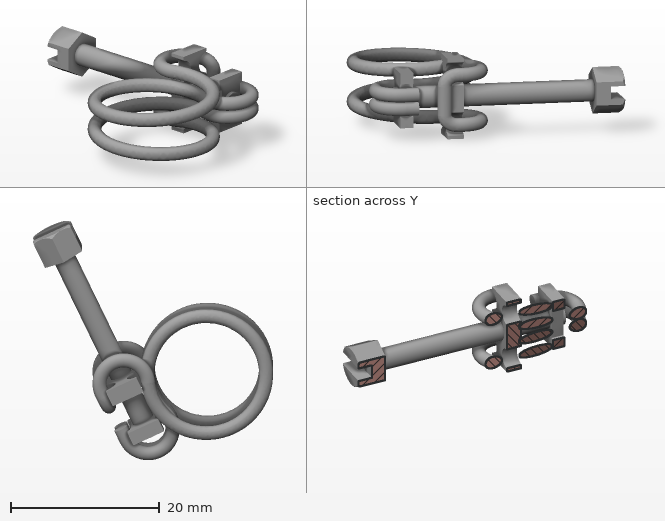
import cadquery as cq
import math

LENGTH = 35.35
WIRE_D = 1.87
COIL_D = 15.9
HOOK_D = 6.55
HOOK_DX = 3.85
HOOK_Y = -0.15
LEFT_HOOK_Z = 3.43
BRIDGE_STRAIGHT = 0.45
BEND_X = 1.85
BEND_Z = 1.45
FREE_END = 1.75

SHANK_D = 3.0
SHANK_END = 31.3
HEAD_LENGTH = 4.0
HEAD_FLATS = 5.5
HEAD_CHAMFER = 0.4
HEAD_TIP_D = 5.48
SLOT_WIDTH = 1.9
SLOT_DEPTH = 2.0

BAR_WIDTH = 4.55
THRUST_X = 22.1
THRUST_LENGTH = 2.23
THRUST_HEIGHT = 11.0
THRUST_NOTCH_R = 1.45
NOTCH_EDGE_R = 0.2
NUT_X = 28.98
NUT_LENGTH = 1.8
NUT_HEIGHT = 7.5
NUT_NOTCH_R = 1.35
NUT_NOTCH_DEPTH = 0.45

WIRE_R = WIRE_D / 2
COIL_R = COIL_D / 2
HOOK_R = HOOK_D / 2
COIL_X = LENGTH - COIL_R - WIRE_R
RIGHT_HOOK_Z = WIRE_R
LEFT_HOOK_X = COIL_X - HOOK_DX
RIGHT_HOOK_X = COIL_X + HOOK_DX
CENTRE_DISTANCE = COIL_R + HOOK_R
TILT = math.asin(HOOK_DX / CENTRE_DISTANCE)
COIL_Y = HOOK_Y - CENTRE_DISTANCE * math.cos(TILT)
COIL_SWEEP = 2 * math.pi + 2 * TILT


def screw():
    """Hexagon head with a driver slot and a chamfered end, on a plain shank."""
    hexagon = cq.Workplane("YZ").polygon(6, HEAD_FLATS, circumscribed=True).extrude(HEAD_LENGTH)
    tip_r = HEAD_TIP_D / 2
    corner_r = HEAD_FLATS / math.sqrt(3)
    turned = (
        cq.Workplane("XY")
        .polyline([(0, 0), (0, tip_r), (HEAD_CHAMFER, corner_r), (HEAD_LENGTH, corner_r), (HEAD_LENGTH, 0)])
        .close()
        .revolve(360, (0, 0, 0), (1, 0, 0))
    )
    slot = cq.Workplane("XY").box(2 * SLOT_DEPTH, 2 * HEAD_FLATS, SLOT_WIDTH)
    shank_length = SHANK_END - HEAD_LENGTH
    shank = cq.Workplane("YZ", origin=(HEAD_LENGTH, 0, 0)).circle(SHANK_D / 2).extrude(shank_length)
    return hexagon.intersect(turned).cut(slot).union(shank)


def bar(x, length, height):
    """Upright bar across the screw, with a hole for the shank."""
    block = cq.Workplane("XY", origin=(x + length / 2, 0, 0)).box(length, BAR_WIDTH, height)
    hole = cq.Workplane("YZ", origin=(x, 0, 0)).circle(SHANK_D / 2).extrude(length)
    return block.cut(hole)


def thrust_bar():
    """Bar with four half-round notches for the left hooks, their edges rounded."""
    half_y = BAR_WIDTH / 2
    notches = (
        cq.Workplane("YZ", origin=(THRUST_X, 0, 0))
        .pushPoints([(y, z) for y in (-half_y, half_y) for z in (-LEFT_HOOK_Z, LEFT_HOOK_Z)])
        .circle(THRUST_NOTCH_R)
        .extrude(THRUST_LENGTH)
    )
    body = bar(THRUST_X, THRUST_LENGTH, THRUST_HEIGHT).cut(notches)
    return body.edges("|X").edges("not(>Z or <Z)").fillet(NOTCH_EDGE_R)


def nut():
    """Bar with one long shallow notch on each side for the pair of right hooks."""
    half_y = BAR_WIDTH / 2
    notches = (
        cq.Workplane("YZ", origin=(NUT_X, 0, 0))
        .pushPoints([(-half_y, 0), (half_y, 0)])
        .slot2D(2 * (RIGHT_HOOK_Z + NUT_NOTCH_R), 2 * NUT_NOTCH_R, 90)
        .extrude(NUT_LENGTH)
    )
    core = cq.Workplane("XY", origin=(NUT_X + NUT_LENGTH / 2, 0, 0)).box(
        NUT_LENGTH, BAR_WIDTH - 2 * NUT_NOTCH_DEPTH, NUT_HEIGHT
    )
    return bar(NUT_X, NUT_LENGTH, NUT_HEIGHT).cut(notches.cut(core))


def on_hook(hook_x, angle, z):
    """Point on a hook's centre line, the angle counted from +X."""
    return cq.Vector(hook_x + HOOK_R * math.cos(angle), HOOK_Y + HOOK_R * math.sin(angle), z)


def bridge_wire():
    """Two left hooks joined by an upright bridge: the upper half and its mirror image."""
    z = LEFT_HOOK_Z
    top_y = HOOK_Y + HOOK_R
    junction = -math.pi / 2 + TILT
    bend_x = LEFT_HOOK_X + BRIDGE_STRAIGHT
    hook = cq.Edge.makeThreePointArc(
        on_hook(LEFT_HOOK_X, junction, z),
        on_hook(LEFT_HOOK_X, math.pi, z),
        on_hook(LEFT_HOOK_X, math.pi / 2, z),
    )
    straight = cq.Edge.makeLine(hook.endPoint(), cq.Vector(bend_x, top_y, z))
    bend = cq.Edge.makeEllipse(
        BEND_X,
        BEND_Z,
        pnt=cq.Vector(bend_x, top_y, z - BEND_Z),
        dir=cq.Vector(0, -1, 0),
        xdir=cq.Vector(1, 0, 0),
        angle1=0,
        angle2=90,
        sense=-1,
    )
    bridge_x = bend_x + BEND_X
    upright = cq.Edge.makeLine(cq.Vector(bridge_x, top_y, z - BEND_Z), cq.Vector(bridge_x, top_y, 0))
    path = cq.Wire.assembleEdges([hook, straight, bend, upright])
    section = cq.Plane(origin=hook.startPoint(), xDir=(0, 0, 1), normal=hook.tangentAt(0))
    half = cq.Workplane(section).circle(WIRE_R).sweep(path)
    return half.union(half.mirror("XY"))


def coil_wire():
    """The upper coil with its right hook; the coil's sections stand upright on its radius."""
    rise = LEFT_HOOK_Z - RIGHT_HOOK_Z
    start = math.pi / 2 - TILT
    pitch = rise * 2 * math.pi / COIL_SWEEP
    helix = cq.Wire.makeHelix(pitch, rise, COIL_R)
    coil = (
        cq.Workplane("XZ", origin=(COIL_R, 0, 0))
        .circle(WIRE_R)
        .sweep(helix, isFrenet=True)
        .rotate((0, 0, 0), (0, 0, 1), math.degrees(start))
        .translate((COIL_X, COIL_Y, RIGHT_HOOK_Z))
    )
    z = RIGHT_HOOK_Z
    arc = cq.Edge.makeThreePointArc(
        on_hook(RIGHT_HOOK_X, start - math.pi, z),
        on_hook(RIGHT_HOOK_X, 0, z),
        on_hook(RIGHT_HOOK_X, math.pi / 2, z),
    )
    free_end = cq.Edge.makeLine(arc.endPoint(), arc.endPoint() - cq.Vector(FREE_END, 0, 0))
    section = cq.Plane(origin=arc.startPoint(), xDir=(0, 0, 1), normal=arc.tangentAt(0))
    hook = cq.Workplane(section).circle(WIRE_R).sweep(cq.Wire.assembleEdges([arc, free_end]))
    return coil.union(hook)


upper_coil = coil_wire()
coils = [upper_coil, upper_coil.mirror("XY")]
thrust = thrust_bar()
screw_nut = nut()
for coil in coils:
    thrust = thrust.cut(coil)
    screw_nut = screw_nut.cut(coil)

bridge = bridge_wire()
clamp_screw = screw()

result = cq.Compound.makeCompound(
    [clamp_screw.val(), thrust.val(), screw_nut.val(), bridge.val(), *[coil.val() for coil in coils]]
)